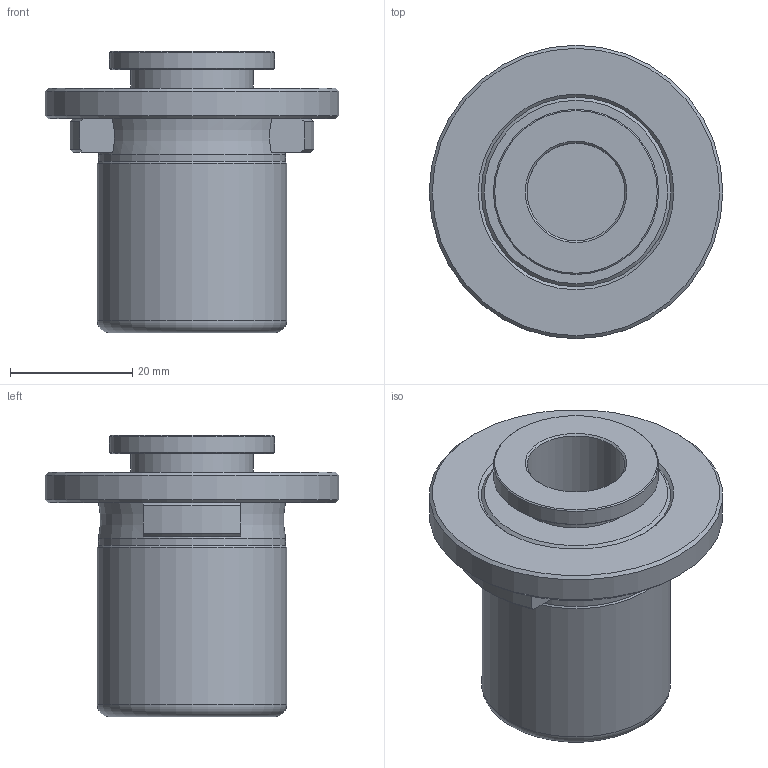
import cadquery as cq

total_height = 46.0
collar_thickness = 3.0
neck_height = 3.0
flange_thickness = 5.0
waist_height = 5.9
land_height = 1.1

collar_bottom = total_height - collar_thickness
flange_top = collar_bottom - neck_height
flange_bottom = flange_top - flange_thickness
waist_bottom = flange_bottom - waist_height
land_bottom = waist_bottom - land_height

collar_radius = 13.5
neck_radius = 10.0
flange_radius = 24.0
body_radius = 15.5
land_radius = 15.3
waist_radius = 15.0
bore_radius = 8.0

collar_chamfer = 0.2
flange_chamfer = 0.5
shoulder_chamfer_height = 0.3
base_round = 2.0
bore_chamfer = 0.3

ring_groove_depth = 0.5

lug_radius = 20.0
lug_width = 16.0
lug_height = 5.5
lug_chamfer = 0.5

bore_depth = 30.0


def turned_body():
    """Revolved outer shape: body, waist, flange, neck and collar."""
    waist_middle = (flange_bottom + waist_bottom) / 2
    profile = (
        cq.Workplane("XZ")
        .lineTo(body_radius, 0)
        .lineTo(body_radius, land_bottom - shoulder_chamfer_height)
        .lineTo(land_radius, land_bottom)
        .lineTo(land_radius, waist_bottom)
        .threePointArc((waist_radius, waist_middle), (land_radius, flange_bottom))
        .lineTo(flange_radius - flange_chamfer, flange_bottom)
        .lineTo(flange_radius, flange_bottom + flange_chamfer)
        .lineTo(flange_radius, flange_top - flange_chamfer)
        .lineTo(flange_radius - flange_chamfer, flange_top)
        .lineTo(neck_radius, flange_top)
        .lineTo(neck_radius, collar_bottom)
        .lineTo(collar_radius - collar_chamfer, collar_bottom)
        .lineTo(collar_radius, collar_bottom + collar_chamfer)
        .lineTo(collar_radius, total_height - collar_chamfer)
        .lineTo(collar_radius - collar_chamfer, total_height)
        .lineTo(0, total_height)
        .close()
    )
    return profile.revolve(360, (0, 0, 0), (0, 1, 0)).faces("<Z").edges().fillet(base_round)


def lugs():
    """Two opposite lugs: a chamfered disc trimmed to a bar across the part."""
    lug_bottom = flange_bottom - lug_height
    disc = (
        cq.Workplane("XY", origin=(0, 0, lug_bottom))
        .circle(lug_radius)
        .extrude(lug_height)
        .edges()
        .chamfer(lug_chamfer)
    )
    bar = cq.Workplane("XY", origin=(0, 0, lug_bottom)).rect(2 * lug_radius, lug_width)
    return disc.intersect(bar.extrude(lug_height))


def ring_groove():
    """V-shaped ring cut from the top of the flange."""
    return (
        cq.Workplane("XZ")
        .moveTo(body_radius - ring_groove_depth, flange_top)
        .lineTo(body_radius, flange_top - ring_groove_depth)
        .lineTo(body_radius + ring_groove_depth, flange_top)
        .close()
        .revolve(360, (0, 0, 0), (0, 1, 0))
    )


def bore():
    """Blind bore with a chamfered mouth."""
    return (
        cq.Workplane("XZ", origin=(0, 0, total_height))
        .lineTo(bore_radius + bore_chamfer, 0)
        .lineTo(bore_radius, -bore_chamfer)
        .lineTo(bore_radius, -bore_depth)
        .lineTo(0, -bore_depth)
        .close()
        .revolve(360, (0, 0, 0), (0, 1, 0))
    )


result = turned_body().union(lugs()).cut(ring_groove()).cut(bore())